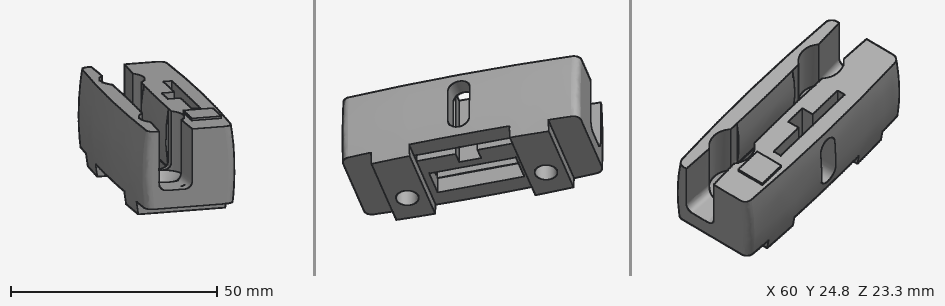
import cadquery as cq
import math

length = 60.0
width = 24.85
foot_height = 3.25
body_height = 19.5
body_top = foot_height + body_height
corner_radius = 2.0

side_bow = 0.9
side_bulge = 0.95

foot_length = 9.7
screw_spacing = 35.0
screw_xs = (-screw_spacing / 2, screw_spacing / 2)

channel_y = -3.7
channel_end_width = 8.4
channel_floor = 7.75
channel_radius = 2.0

screw_diameter = 5.5
head_diameter = 11.05
sink_angle = 90

window_length = 21.85
window_width = 7.45
window_mid_width = 5.65
window_bulge = 0.65

channel_mid_width = window_mid_width + 2 * window_bulge

slot_length = 25.1
slot_back = 7.45
slot_front = 5.3
stem_width = 5.5
stem_front = 2.1

opening_width = stem_width
opening_height = 14.75

plate_size = 7.45
plate_height = 0.55
plate_x = 19.1
plate_y = 6.1

clearance = 3.0


def arc_radius(chord, sagitta):
    """Radius of the arc with the given chord and sagitta."""
    return (chord**2 / 4 + sagitta**2) / (2 * sagitta)


def block(x_min, x_max, y_min, y_max, z_min, z_max):
    """Upright box between the given limits."""
    size = (x_max - x_min, y_max - y_min, z_max - z_min)
    return cq.Workplane("XY").box(*size, centered=False).translate((x_min, y_min, z_min))


bow_radius = arc_radius(length, side_bow)


def barrel_disc(crest_y, side, bulge, z_min, z_max):
    """Large upright disc with a bulged rim; its crest is at crest_y and it lies on the given side of that."""
    z_mid = (z_min + z_max) / 2
    rim = bow_radius - bulge
    profile = (
        cq.Workplane("XZ")
        .moveTo(0, z_min)
        .lineTo(rim, z_min)
        .threePointArc((bow_radius, z_mid), (rim, z_max))
        .lineTo(0, z_max)
        .close()
    )
    disc = profile.revolve(360, (0, 0, 0), (0, 1, 0))
    return disc.translate((0, crest_y + side * bow_radius, 0))


def make_body():
    """Barrelled block with rounded upright corners, relieved below to leave two feet."""
    body = block(-length / 2, length / 2, -width, width, 0, body_top)
    for side in (-1, 1):
        body = body.intersect(barrel_disc(-side * width / 2, side, side_bulge, 0, body_top))
    body = body.faces("<X or >X").edges("not |Y").fillet(corner_radius)

    inner = (screw_spacing - foot_length) / 2
    outer = (screw_spacing + foot_length) / 2
    for x_min, x_max in ((-length, -outer), (-inner, inner), (outer, length)):
        body = body.cut(block(x_min, x_max, -width, width, -clearance, foot_height))
    return body


def make_channel():
    """Channel with bowed walls and rounded lower edges."""
    end = channel_end_width / 2
    mid = channel_mid_width / 2
    return (
        cq.Workplane("XY")
        .workplane(offset=channel_floor)
        .center(0, channel_y)
        .moveTo(-length / 2, -end)
        .threePointArc((0, -mid), (length / 2, -end))
        .lineTo(length / 2, end)
        .threePointArc((0, mid), (-length / 2, end))
        .close()
        .extrude(body_top - channel_floor + clearance)
        .faces("<Z")
        .edges("not |Y")
        .fillet(channel_radius)
    )


def make_window():
    """Opening through the channel floor whose walls bulge inwards above the floor."""
    half_width = window_width / 2
    window = block(
        -window_length / 2,
        window_length / 2,
        channel_y - half_width,
        channel_y + half_width,
        -clearance,
        body_top + clearance,
    )
    for side in (-1, 1):
        crest_y = channel_y + side * window_mid_width / 2
        window = window.cut(barrel_disc(crest_y, side, window_bulge, channel_floor, body_top))
    return window


def make_window_zone():
    """Stretch of the channel that the window replaces."""
    return block(-window_length / 2, window_length / 2, -width, width, 0, body_top + clearance)


def make_screw_hole(x):
    """Through hole, countersunk at the channel floor, with upright room for the head above it."""
    head_radius = head_diameter / 2
    hole_radius = screw_diameter / 2
    sink_depth = (head_radius - hole_radius) / math.tan(math.radians(sink_angle / 2))
    profile = (
        cq.Workplane("XZ")
        .moveTo(0, -clearance)
        .lineTo(hole_radius, -clearance)
        .lineTo(hole_radius, channel_floor - sink_depth)
        .lineTo(head_radius, channel_floor)
        .lineTo(head_radius, body_top + clearance)
        .lineTo(0, body_top + clearance)
        .close()
    )
    return profile.revolve(360, (0, 0, 0), (0, 1, 0)).translate((x, channel_y, 0))


def make_t_slot():
    """T-shaped slot through the full height, stem pointing to the channel."""
    z_min = -clearance
    z_max = body_top + clearance
    bar = block(-slot_length / 2, slot_length / 2, slot_front, slot_back, z_min, z_max)
    stem = block(-stem_width / 2, stem_width / 2, stem_front, slot_front, z_min, z_max)
    return bar.union(stem)


def make_back_opening():
    """Upright round-ended opening from the T slot out through the back face."""
    return (
        cq.Workplane("XZ", origin=(0, slot_front, foot_height + body_height / 2))
        .slot2D(opening_height, opening_width, 90)
        .extrude(-width)
    )


def make_plate():
    """Square plate standing on the top face."""
    half = plate_size / 2
    return block(
        plate_x - half,
        plate_x + half,
        plate_y - half,
        plate_y + half,
        body_top,
        body_top + plate_height,
    )


result = make_body()
result = result.cut(make_channel().cut(make_window_zone()))
result = result.cut(make_window())
for screw_x in screw_xs:
    result = result.cut(make_screw_hole(screw_x))
result = result.cut(make_t_slot())
result = result.union(make_plate())
result = result.cut(make_back_opening(), clean=False)